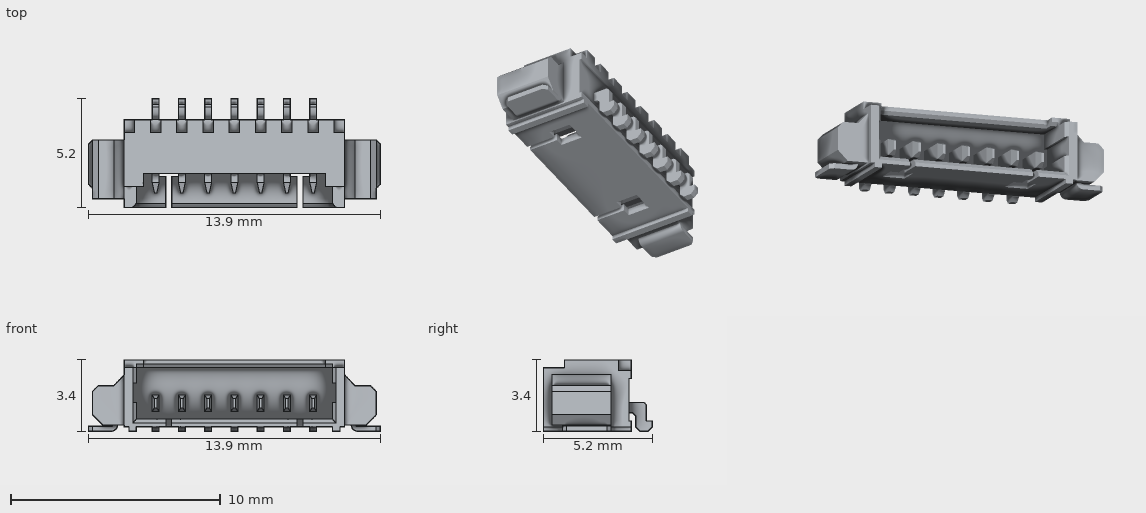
import cadquery as cq


overall_width = 13.9
overall_depth = 5.2
overall_height = 3.4

housing_width = 10.5
housing_depth = 4.2
housing_bottom = 0.21
step_height = 3.03
roof_front = 1.0
window_front = 1.63
window_width = 8.67
back_groove_depth = 0.11
back_groove_bottom = 0.5
back_groove_top = 2.52

cavity_width = 9.34
cavity_depth = 2.99
floor_height = 0.58
mouth_width = 9.67
lead_in_depth = 0.21
mouth_floor = 0.39
guide_bottom = 1.38
guide_top = 2.31
ceiling_lead_in = 0.17

contact_count = 7
contact_pitch = 1.25
contact_width = 0.33
blade_bottom = 0.95
blade_top = 1.72
blade_shoulder = 1.21
tip_start = 0.71
tip_width = 0.11
tip_height = 0.45
tail_bottom = 0.88
tail_top = 1.38
tail_thickness = 0.51
tail_outer_face = 4.9
tail_outer_bevel = 0.11
tail_inner_bevel = 0.14
foot_height = 0.5
foot_bevel = 0.21

notch_width = 0.5
notch_depth = 0.61
notch_floor = 2.89

slot_offset = 3.13
slot_width = 0.28
slot_head_start = 1.49
slot_head_width = 1.14
slot_head_end = 2.6

rail_inner = 4.67
rail_outer = 5.03

ear_outer = 6.77
ear_front = 0.42
ear_back = 3.22
ear_bottom = 0.29
ear_top = 2.18
ear_top_bevel = 0.29
ear_bottom_bevel = 0.5
ear_web_outer = 5.74
ear_web_top = 2.7

tab_thickness = 0.25
tab_inner = 5.56
tab_bend_radius = 0.32
tab_front = 0.92
tab_corner_bevel = 0.2

half_housing = housing_width / 2
contact_positions = [(i - (contact_count - 1) / 2) * contact_pitch for i in range(contact_count)]


def block(x_range, y_range, z_range):
    """Axis-aligned box given by its limits."""
    limits = (x_range, y_range, z_range)
    return cq.Workplane("XY").box(*[high - low for low, high in limits], centered=False).translate(
        tuple(low for low, _ in limits)
    )


def centred_block(center_x, width, y_range, z_range):
    """Box of the given width, centred on one X position."""
    return block((center_x - width / 2, center_x + width / 2), y_range, z_range)


def both_ends(solid):
    """The solid together with its mirror image at the other end of the part."""
    return solid.union(solid.mirror("YZ"))


def make_housing_block():
    side_profile = [
        (0, housing_bottom),
        (housing_depth, housing_bottom),
        (housing_depth, back_groove_bottom),
        (housing_depth - back_groove_depth, back_groove_bottom),
        (housing_depth - back_groove_depth, back_groove_top),
        (housing_depth, back_groove_top),
        (housing_depth, overall_height),
        (roof_front, overall_height),
        (roof_front, step_height),
        (0, step_height),
    ]
    body = cq.Workplane("YZ").polyline(side_profile).close().extrude(half_housing, both=True)
    rail = block((rail_inner, rail_outer), (0, housing_depth), (0, housing_bottom))
    return body.union(both_ends(rail))


def bevel_under_roof(edge_y, width):
    """45 degree wedge that relieves the lower edge of the roof."""
    return (
        cq.Workplane("YZ")
        .polyline([
            (edge_y, step_height),
            (edge_y + ceiling_lead_in, step_height),
            (edge_y, step_height + ceiling_lead_in),
        ])
        .close()
        .extrude(width / 2, both=True)
    )


def make_cavity():
    """Plug opening with its lead-ins, side guide grooves and roof window."""
    cavity = centred_block(0, cavity_width, (0, cavity_depth), (floor_height, step_height))
    guides = centred_block(0, mouth_width, (0, cavity_depth), (guide_bottom, guide_top))

    lead_in = (
        cq.Workplane("XZ")
        .center(0, (mouth_floor + step_height) / 2)
        .rect(mouth_width, step_height - mouth_floor)
        .workplane(offset=-lead_in_depth)
        .center(0, (floor_height - mouth_floor) / 2)
        .rect(cavity_width, step_height - floor_height)
        .loft()
    )

    window = centred_block(0, window_width, (0, window_front), (floor_height, overall_height))
    front_bevel = bevel_under_roof(roof_front, cavity_width)
    window_bevel = bevel_under_roof(window_front, window_width)
    return cavity.union(guides).union(lead_in).union(window).union(front_bevel).union(window_bevel)


def make_rear_notches():
    """One notch above each contact and one at each rear corner."""
    y_range = (housing_depth - notch_depth, housing_depth)
    z_range = (notch_floor, overall_height)
    notches = both_ends(block((half_housing - notch_width, half_housing), y_range, z_range))
    for x in contact_positions:
        notches = notches.union(centred_block(x, notch_width, y_range, z_range))
    return notches


def make_floor_slots():
    z_range = (0, floor_height)
    stem = centred_block(slot_offset, slot_width, (0, slot_head_start), z_range)
    head = centred_block(slot_offset, slot_head_width, (slot_head_start, slot_head_end), z_range)
    return both_ends(stem.union(head))


def make_ear():
    """Ear on the +X end, with a sloped web up to the housing wall."""
    outline = [
        (half_housing, ear_bottom),
        (ear_outer - ear_bottom_bevel, ear_bottom),
        (ear_outer, ear_bottom + ear_bottom_bevel),
        (ear_outer, ear_top - ear_top_bevel),
        (ear_outer - ear_top_bevel, ear_top),
        (ear_web_outer, ear_top),
        (half_housing, ear_web_top),
    ]
    ear = cq.Workplane("XZ").polyline(outline).close().extrude(-(ear_back - ear_front))
    return ear.translate((0, ear_front, 0))


def make_solder_tab():
    """Flat tab on the +X end, bent up at its inner edge into the ear."""
    y_range = (tab_front, ear_back)
    foot = block((tab_inner, overall_width / 2), y_range, (0, tab_thickness))
    foot = foot.edges("|Z and >X").chamfer(tab_corner_bevel)
    upright = block((tab_inner, tab_inner + tab_thickness), y_range, (0, ear_bottom + tab_thickness))
    return foot.union(upright).edges("|Y and <X and <Z").fillet(tab_bend_radius)


def make_contact():
    """Contact centred on X = 0: tapered blade, cranked solder tail and foot."""
    blade_height = blade_top - blade_bottom
    blade_middle = (blade_top + blade_bottom) / 2
    inside_wall = (cavity_depth + housing_depth) / 2
    blade = centred_block(0, contact_width, (blade_shoulder, inside_wall), (blade_bottom, blade_top))
    tip = (
        cq.Workplane("XZ", origin=(0, tip_start, blade_middle))
        .rect(tip_width, tip_height)
        .workplane(offset=tip_start - blade_shoulder)
        .rect(contact_width, blade_height)
        .loft()
    )

    tail_inner_face = tail_outer_face - tail_thickness
    tail_profile = [
        (cavity_depth, tail_top),
        (tail_outer_face - tail_outer_bevel, tail_top),
        (tail_outer_face, tail_top - tail_outer_bevel),
        (tail_outer_face, foot_height),
        (overall_depth, foot_height),
        (overall_depth, foot_bevel),
        (overall_depth - foot_bevel, 0),
        (tail_inner_face + foot_bevel, 0),
        (tail_inner_face, foot_bevel),
        (tail_inner_face, tail_bottom - tail_inner_bevel),
        (tail_inner_face - tail_inner_bevel, tail_bottom),
        (cavity_depth, tail_bottom),
    ]
    tail = cq.Workplane("YZ").polyline(tail_profile).close().extrude(contact_width / 2, both=True)
    return blade.union(tip).union(tail)


result = make_housing_block().cut(make_cavity()).cut(make_rear_notches()).cut(make_floor_slots())
result = result.union(both_ends(make_ear())).union(both_ends(make_solder_tab()))

contact = make_contact()
for x in contact_positions:
    result = result.union(contact.translate((x, 0, 0)))